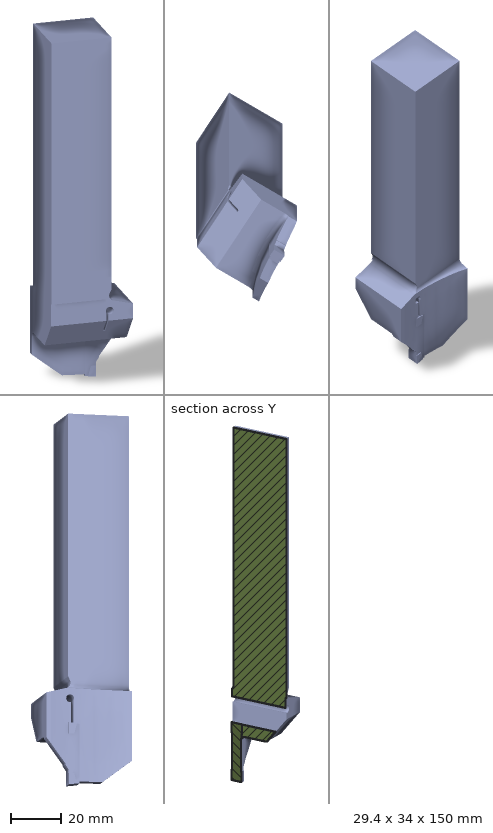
import cadquery as cq
import math

total_height = 150.0
shank_width = 24.9
right_side = 29.4
shank_left = right_side - shank_width
shank_bottom = 39.9

head_depth = 34.0
head_right = 29.0
head_bottom = 19.6
head_bevel_top = 30.6
head_bevel_bottom_x = 20.1
head_shoulder_z = 38.1
shoulder_end_x = 3.2
shoulder_end_z = 38.7
neck_fillet_top = 40.4
neck_fillet_mid = (4.0, 39.3)

undercut_top = (shank_width, 43.8)
undercut_deep = (24.0, 41.8)
undercut_mid = (24.5, 39.9)
undercut_end = (26.2, 38.8)
head_back_top = 36.8
head_back_bottom = 18.6
clamp_arm_end = (25.5, 7.5)

blade_bottom = 1.4
blade_bottom_start_y = 11.2
blade_bottom_end_y = 22.5
blade_front_bottom = 9.9
blade_front_thickness = 3.0
blade_crest_y = 24.8
blade_outer_crest_x = 3.8
blade_inner_crest_x = 8.1
blade_flat_start_y = 32.1
blade_root_fillet = 1.8
edge_margin = 0.2

relief_hole_y = 24.3
relief_hole_z = 34.8
relief_hole_diameter = 3.2
slot_y = 23.4
slot_width = 0.9
slot_bottom = 24.9

insert_half_length = 12.6
insert_middle_z = insert_half_length
insert_rake_y = 24.9
insert_base_y = 20.4
insert_ridge_y = 26.2
ridge_half_length = 4.6
ridge_foot_half_length = 6.6
end_relief = 0.6
tip_length = 4.6
tip_heel_y = 21.6
tip_neck_y = 22.6
insert_left = blade_outer_crest_x
insert_right = blade_inner_crest_x
tip_left = 3.5
tip_right = 8.4


def prism_along_x(outline, x_start, x_end):
    """Extrude a closed (y, z) wire from x_start to x_end."""
    return outline.extrude(x_end - x_start).translate((x_start, 0, 0))


def prism_of_points(points, x_start, x_end):
    return prism_along_x(cq.Workplane("YZ").polyline(points).close(), x_start, x_end)


def crowned_x(y, front_x, crest_x):
    """X on an arc that starts at front_x on y = 0 and crests at crest_x."""
    rise = crest_x - front_x
    radius = (blade_crest_y**2 + rise**2) / (2 * rise)
    return crest_x - radius + math.sqrt(radius**2 - (blade_crest_y - y) ** 2)


def make_front_block():
    """Shank and head outline in XZ, extruded over the full depth."""
    return (
        cq.Workplane("XZ")
        .moveTo(shank_left, total_height)
        .lineTo(right_side, total_height)
        .lineTo(right_side, shank_bottom)
        .lineTo(head_right, shank_bottom)
        .lineTo(head_right, head_bevel_top)
        .lineTo(head_bevel_bottom_x, head_bottom)
        .lineTo(0, head_bottom)
        .lineTo(0, head_shoulder_z)
        .lineTo(shoulder_end_x, shoulder_end_z)
        .threePointArc(neck_fillet_mid, (shank_left, neck_fillet_top))
        .close()
        .extrude(-head_depth)
    )


def make_blade_block():
    """Blade below the head, with a curved inner face."""
    middle_y = head_depth / 2
    middle_x = crowned_x(middle_y, blade_front_thickness, blade_inner_crest_x)
    back_x = crowned_x(head_depth, blade_front_thickness, blade_inner_crest_x)
    return (
        cq.Workplane("XY")
        .moveTo(0, 0)
        .lineTo(blade_front_thickness, 0)
        .threePointArc((middle_x, middle_y), (back_x, head_depth))
        .lineTo(0, head_depth)
        .close()
        .extrude(head_bottom)
    )


def make_side_envelope():
    """Outline in YZ that bounds shank, head and blade."""
    outline = (
        cq.Workplane("YZ")
        .moveTo(0, total_height)
        .lineTo(shank_width, total_height)
        .lineTo(*undercut_top)
        .lineTo(*undercut_deep)
        .threePointArc(undercut_mid, undercut_end)
        .lineTo(head_depth, head_back_top)
        .lineTo(head_depth, head_back_bottom)
        .lineTo(*clamp_arm_end)
        .lineTo(blade_bottom_end_y, blade_bottom)
        .lineTo(blade_bottom_start_y, blade_bottom)
        .lineTo(0, blade_front_bottom)
        .close()
    )
    return prism_along_x(outline, 0, right_side)


def make_outer_relief():
    """Material outside the curved -X face of head and blade."""
    middle_y = blade_flat_start_y / 2
    middle_x = crowned_x(middle_y, 0, blade_outer_crest_x)
    flat_x = crowned_x(blade_flat_start_y, 0, blade_outer_crest_x)
    return (
        cq.Workplane("XY")
        .moveTo(0, 0)
        .threePointArc((middle_x, middle_y), (flat_x, blade_flat_start_y))
        .lineTo(flat_x, head_depth)
        .lineTo(0, head_depth)
        .close()
        .extrude(total_height)
    )


def make_clamping_slot():
    hole = prism_along_x(
        cq.Workplane("YZ").center(relief_hole_y, relief_hole_z).circle(relief_hole_diameter / 2),
        0,
        right_side,
    )
    slot = prism_of_points(
        [
            (slot_y - slot_width / 2, slot_bottom),
            (slot_y + slot_width / 2, slot_bottom),
            (slot_y + slot_width / 2, relief_hole_z),
            (slot_y - slot_width / 2, relief_hole_z),
        ],
        0,
        right_side,
    )
    return hole.union(slot)


def insert_body(x_start, x_end):
    """Insert bar with a clamping ridge in the middle of its rake side."""
    upper = [
        (insert_base_y, insert_half_length - end_relief),
        (insert_rake_y, insert_half_length),
        (insert_rake_y, ridge_foot_half_length),
        (insert_ridge_y, ridge_half_length),
    ]
    lower = [(y, -z) for y, z in reversed(upper)]
    points = [(y, insert_middle_z + z) for y, z in upper + lower]
    return prism_of_points(points, x_start, x_end)


def insert_tip(direction, x_start, x_end):
    """Wider cutting tip at the upper (+1) or lower (-1) end."""
    heel_drop = end_relief * (insert_rake_y - tip_heel_y) / (insert_rake_y - insert_base_y)
    half_outline = [
        (insert_rake_y, insert_half_length),
        (insert_rake_y, insert_half_length - tip_length),
        (tip_neck_y, insert_half_length - tip_length),
        (tip_heel_y, insert_half_length - heel_drop),
    ]
    points = [(y, insert_middle_z + direction * z) for y, z in half_outline]
    return prism_of_points(points, x_start, x_end)


def make_insert_shape(body_start, tip_start):
    shape = insert_body(body_start, insert_right)
    for direction in (1, -1):
        shape = shape.union(insert_tip(direction, tip_start, tip_right))
    return shape


def make_holder():
    block = make_front_block().union(make_blade_block())
    root_edge = cq.selectors.BoxSelector(
        (0, 0, head_bottom - edge_margin),
        (head_bevel_bottom_x, head_depth, head_bottom + edge_margin),
    )
    block = block.edges(root_edge).edges("%CIRCLE").fillet(blade_root_fillet)
    pocket = make_insert_shape(0, 0)
    return (
        block.intersect(make_side_envelope())
        .cut(make_outer_relief())
        .cut(make_clamping_slot())
        .cut(pocket)
    )


holder = make_holder()
insert = make_insert_shape(insert_left, tip_left)

result = cq.Compound.makeCompound([holder.solids().val(), insert.solids().val()])